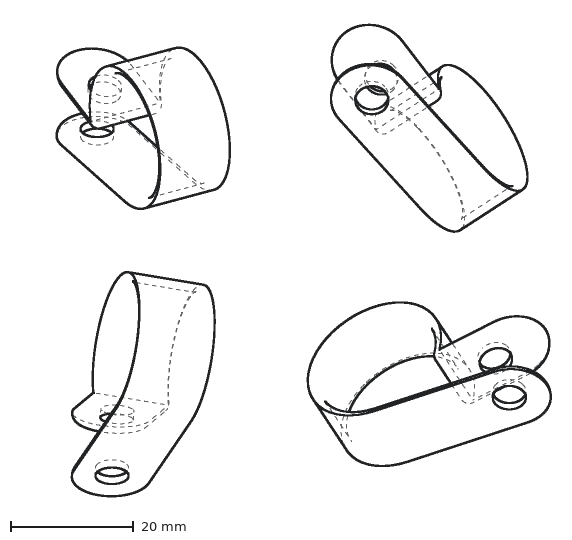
import cadquery as cq
import math

total_length = 40.0
width = 12.9
thickness = 1.48
loop_diameter = 23.95
edge_round = 1.45
hole_diameter = 5.4
foot_hole_inset = 6.8
flange_angle = 13.0
flange_length = 16.48
flange_hole_distance = 7.0
bend_drop = 2.7

loop_radius = loop_diameter / 2
inner_radius = loop_radius - thickness
end_radius = width / 2
foot_tip_x = loop_radius - total_length
bend_x = -math.sqrt(loop_radius**2 - bend_drop**2)
bend_z = -bend_drop
loop_end_angle = math.degrees(math.asin(bend_drop / loop_radius))


def from_bend(distance, angle):
    """XZ point at a distance and direction in degrees from the sharp bend line."""
    a = math.radians(angle)
    return (bend_x + distance * math.cos(a), bend_z + distance * math.sin(a))


flange_direction = 180 - flange_angle
flange_normal = flange_direction + 90 - 360
bend_middle = (loop_end_angle + flange_normal) / 2


def make_strip():
    """Side outline of foot, loop, bend and flange, extruded across the width."""
    bend_point = (bend_x, bend_z)
    flange_tip = from_bend(flange_length, flange_direction)
    underside_start = from_bend(thickness, flange_normal)
    underside_tip = (
        flange_tip[0] + underside_start[0] - bend_x,
        flange_tip[1] + underside_start[1] - bend_z,
    )
    outline = (
        cq.Workplane("XZ")
        .moveTo(foot_tip_x, -loop_radius)
        .lineTo(0, -loop_radius)
        .threePointArc((loop_radius, 0), bend_point)
        .lineTo(*flange_tip)
        .lineTo(*underside_tip)
        .lineTo(*underside_start)
        .threePointArc(from_bend(thickness, bend_middle), from_bend(thickness, loop_end_angle))
        .threePointArc((inner_radius, 0), (0, -inner_radius))
        .lineTo(foot_tip_x, -inner_radius)
        .close()
    )
    return outline.extrude(width / 2, both=True)


def end_cutter(plane, tip):
    """Waste around a semicircular strip end whose tip is at local x = tip."""
    centre = tip + end_radius
    block = (
        cq.Workplane(plane)
        .rect(2 * end_radius, 2 * width)
        .extrude(thickness, both=True)
        .translate(plane.xDir * tip)
    )
    disc = cq.Workplane(plane).center(centre, 0).circle(end_radius).extrude(thickness, both=True)
    rest = (
        cq.Workplane(plane)
        .center(centre + end_radius, 0)
        .rect(2 * end_radius, width)
        .extrude(thickness, both=True)
    )
    return block.cut(disc).cut(rest)


def hole_cutter(plane, x):
    return cq.Workplane(plane).center(x, 0).circle(hole_diameter / 2).extrude(thickness, both=True)


foot_plane = cq.Plane(origin=(0, 0, -loop_radius), xDir=(1, 0, 0), normal=(0, 0, 1))
tilt = math.radians(flange_angle)
flange_plane = cq.Plane(
    origin=(bend_x, 0, bend_z),
    xDir=(math.cos(tilt), 0, -math.sin(tilt)),
    normal=(math.sin(tilt), 0, math.cos(tilt)),
)

strip = make_strip()
strip = strip.cut(end_cutter(foot_plane, foot_tip_x))
strip = strip.cut(end_cutter(flange_plane, -flange_length))

rim_start = cq.selectors.NearestToPointSelector((foot_tip_x / 2, width / 2, -inner_radius))
strip = strip.edges(rim_start).fillet(edge_round)

strip = strip.cut(hole_cutter(foot_plane, foot_tip_x + foot_hole_inset))
result = strip.cut(hole_cutter(flange_plane, -flange_hole_distance))